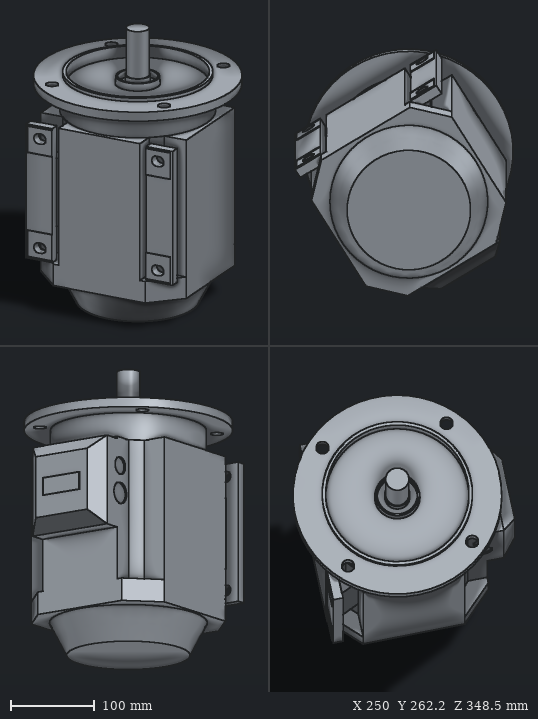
import cadquery as cq
import math

HEIGHT = 348.5
COVER_TOP = 40.0
SKIRT_TOP = 67.5
BODY_TOP = 243.0
FLANGE_BOTTOM = 276.5
FLANGE_TOP = 288.0
SPIGOT_TOP = 292.5

FLANGE_DIAMETER = 250.0
SPIGOT_RADIUS = 90.0
NECK_RADIUS = 93.5
COVER_TOP_RADIUS = 94.5
COVER_BOTTOM_RADIUS = 74.0
RECESS_RADIUS = 85.7
RECESS_DEPTH = 15.0
SHAFT_RADIUS = 14
COLLAR_RADIUS = 15.0
COLLAR_TOP = 288.2
SEAL_BASE_RADIUS = 27.2
SEAL_TOP_RADIUS = 26.0
SEAL_INNER_RADIUS = 24.0
SEAL_HEIGHT = 9.0
BOLT_HOLE_DIAMETER = 15.0
BOLT_SPACING = 151.5

CORE_RADIUS = 92.7
BODY_HALF = 98.5
SIDE_BLOCK_HALF = 62.0
FRONT_BLOCK_HALF = 55.0

FOOT_INNER = 63.5
FOOT_OUTER = 99.3
FOOT_BACK = 86.8
FOOT_BOTTOM = 69.5
FOOT_TOP = 240.8
PAD_OUTER = 96.5
PAD_HEIGHT = 33.8
PAD_THICKNESS = 1.0
PAD_MARGIN = 2.0
SLOT_X = 79.8
SLOT_SPACING = 139.7
SLOT_LENGTH = 16.0
SLOT_WIDTH = 13.0

WEB_BOTTOM = 111.5
WEB_TOP = 198.5
WEB_INNER_TILT = 36
WEB_OUTER_TILT = 25
WEB_OUTER = 81.5
WEB_DEPTH = 35

BOX_BOTTOM = 131.5
BOX_TOP = 240.5
BOX_SHOULDER = 119.0
LID_TAPER = 17.0
PLATE_HALF_WIDTH = 27.0
PLATE_BOTTOM = 174.5
PLATE_TOP = 196.0
PLATE_THICKNESS = 1.22
ENTRY_Y = 92.0
ENTRY_DEPTH = 2.0
CABLE_ENTRIES = ((208.0, 10.5), (174.5, 13.0))


def block(x0, x1, y0, y1, z0, z1):
    """Box given by its limits along each axis."""
    return cq.Workplane("XY").box(x1 - x0, y1 - y0, z1 - z0, centered=False).translate((x0, y0, z0))


def cylinder(radius, z0, z1):
    """Cylinder on the shaft axis between two levels."""
    return cq.Workplane("XY").workplane(offset=z0).circle(radius).extrude(z1 - z0)


def housing():
    core = cylinder(CORE_RADIUS, COVER_TOP, BODY_TOP)
    neck = cylinder(NECK_RADIUS, BODY_TOP, FLANGE_BOTTOM)
    side = block(-BODY_HALF, BODY_HALF, -SIDE_BLOCK_HALF, SIDE_BLOCK_HALF, COVER_TOP, BODY_TOP)
    front = block(-FRONT_BLOCK_HALF, FRONT_BLOCK_HALF, -BODY_HALF, BODY_HALF, COVER_TOP, BODY_TOP)
    skirt = block(-BODY_HALF, BODY_HALF, -BODY_HALF, BODY_HALF, COVER_TOP, SKIRT_TOP)
    skirt = skirt.edges("|Z").chamfer(BODY_HALF - SIDE_BLOCK_HALF)
    cover = (
        cq.Workplane("XY").circle(COVER_BOTTOM_RADIUS)
        .workplane(offset=COVER_TOP).circle(COVER_TOP_RADIUS).loft()
    )
    return core.union(neck).union(side).union(front).union(skirt).union(cover)


def flange_and_shaft():
    floor = SPIGOT_TOP - RECESS_DEPTH
    seal_top = floor + SEAL_HEIGHT
    flange = cylinder(FLANGE_DIAMETER / 2, FLANGE_BOTTOM, FLANGE_TOP)
    flange = flange.union(cylinder(SPIGOT_RADIUS, FLANGE_TOP, SPIGOT_TOP))
    flange = flange.cut(cylinder(RECESS_RADIUS, floor, SPIGOT_TOP))
    bolt_holes = (
        cq.Workplane("XY").workplane(offset=FLANGE_BOTTOM)
        .rect(BOLT_SPACING, BOLT_SPACING, forConstruction=True).vertices()
        .circle(BOLT_HOLE_DIAMETER / 2).extrude(FLANGE_TOP - FLANGE_BOTTOM)
    )
    seal = (
        cq.Workplane("XZ")
        .polyline([
            (SEAL_INNER_RADIUS, floor),
            (SEAL_BASE_RADIUS, floor),
            (SEAL_TOP_RADIUS, seal_top),
            (SEAL_INNER_RADIUS, seal_top),
        ])
        .close().revolve(360, (0, 0, 0), (0, 1, 0))
    )
    collar = cylinder(COLLAR_RADIUS, floor, COLLAR_TOP)
    shaft = cylinder(SHAFT_RADIUS, floor, HEIGHT)
    return flange.cut(bolt_holes).union(seal).union(collar).union(shaft)


def foot():
    """Foot on the +X side with its web, end pads and bolt slots."""
    bar = block(FOOT_INNER, FOOT_OUTER, -BODY_HALF, -FOOT_BACK, FOOT_BOTTOM, FOOT_TOP)
    pad_front = -BODY_HALF - PAD_THICKNESS
    lower_pad = FOOT_BOTTOM + PAD_MARGIN
    upper_pad = FOOT_TOP - PAD_MARGIN - PAD_HEIGHT
    for z in (lower_pad, upper_pad):
        bar = bar.union(block(FOOT_INNER, PAD_OUTER, pad_front, -BODY_HALF, z, z + PAD_HEIGHT))
    middle = (FOOT_BOTTOM + FOOT_TOP) / 2
    slots = (
        cq.Workplane("XZ", origin=(SLOT_X, -FOOT_BACK, middle))
        .rarray(3.5, SLOT_SPACING, 1, 2).slot2D(SLOT_LENGTH, SLOT_WIDTH)
        .extrude(-pad_front - FOOT_BACK)
    )
    inner_run = WEB_DEPTH * math.tan(math.radians(WEB_INNER_TILT))
    outer_run = WEB_DEPTH * math.tan(math.radians(WEB_OUTER_TILT))
    web = (
        cq.Workplane("XY").workplane(offset=WEB_BOTTOM)
        .polyline([
            (FOOT_INNER, -FOOT_BACK),
            (WEB_OUTER, -FOOT_BACK),
            (WEB_OUTER - outer_run, WEB_DEPTH - FOOT_BACK),
            (FOOT_INNER - inner_run, WEB_DEPTH - FOOT_BACK),
        ])
        .close().extrude(WEB_TOP - WEB_BOTTOM)
    )
    return bar.cut(slots).union(web)


def terminal_box():
    half = FRONT_BLOCK_HALF
    lid_face = BOX_SHOULDER + LID_TAPER
    box = block(-half, half, 0, lid_face, BOX_BOTTOM, BOX_TOP)
    box = box.faces(">Y").chamfer(LID_TAPER)
    plate_face = lid_face + PLATE_THICKNESS
    plate = block(-PLATE_HALF_WIDTH, PLATE_HALF_WIDTH, lid_face, plate_face, PLATE_BOTTOM, PLATE_TOP)
    return box.union(plate)


def cable_entries():
    """Shallow round recesses in both side walls of the terminal box."""
    recesses = cq.Workplane("XY")
    for z, radius in CABLE_ENTRIES:
        for side in (-1, 1):
            wall = cq.Workplane("YZ", origin=(side * FRONT_BLOCK_HALF, ENTRY_Y, z))
            recesses = recesses.add(wall.circle(radius).extrude(-side * ENTRY_DEPTH))
    return recesses.combine()


right_foot = foot()
left_foot = right_foot.mirror("YZ")
result = housing().union(flange_and_shaft()).union(right_foot).union(left_foot)
result = result.union(terminal_box()).cut(cable_entries())